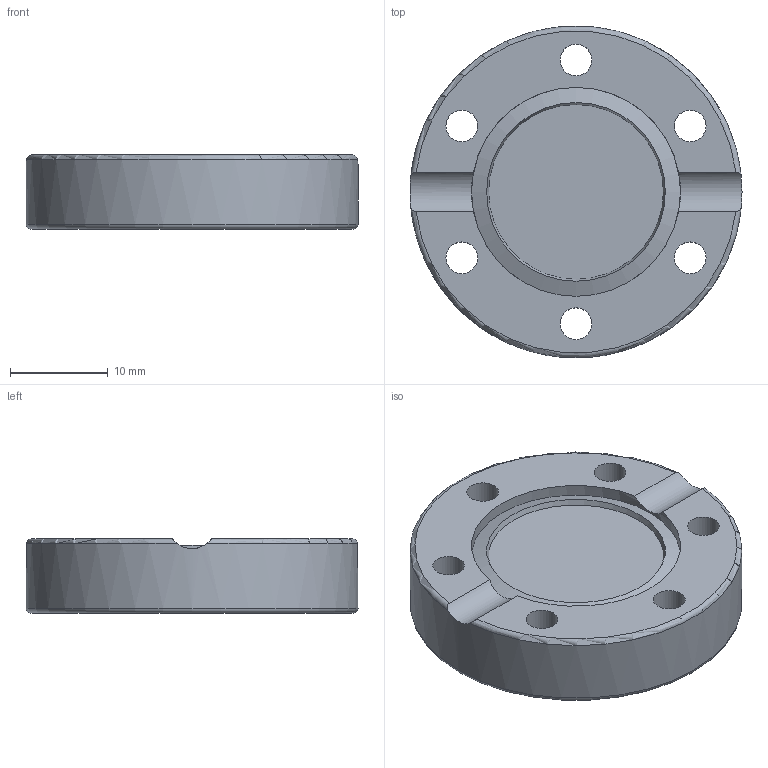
import cadquery as cq
import math

flange_diameter = 34.0
flange_thickness = 7.6
rim_fillet = 0.5

recess_diameter = 21.4
knife_edge_diameter = 18.3
knife_edge_depth = 0.65
knife_slope = 20.0
floor_diameter = 17.9
floor_depth = 1.2

bolt_circle_diameter = 27.0
bolt_hole_diameter = 3.25
bolt_hole_count = 6
first_bolt_angle = 90.0

groove_width = 4.0
groove_depth = 1.0

flange_radius = flange_diameter / 2
recess_radius = recess_diameter / 2
knife_edge_radius = knife_edge_diameter / 2


def flange_body():
    """Plain disc with rounded rims, base on Z = 0."""
    disc = cq.Workplane("XY").circle(flange_radius).extrude(flange_thickness)
    return disc.edges("%CIRCLE").fillet(rim_fillet)


def seal_recess():
    """Revolved void above the knife edge, its sloping outer flank and the centre floor."""
    crest_z = flange_thickness - knife_edge_depth
    floor_z = flange_thickness - floor_depth
    flank_drop = (recess_radius - knife_edge_radius) * math.tan(math.radians(knife_slope))
    return (
        cq.Workplane("XZ")
        .moveTo(0, flange_thickness)
        .lineTo(recess_radius, flange_thickness)
        .lineTo(recess_radius, crest_z - flank_drop)
        .lineTo(knife_edge_radius, crest_z)
        .lineTo(floor_diameter / 2, floor_z)
        .lineTo(0, floor_z)
        .close()
        .revolve(360, (0, 0), (0, 1))
    )


def bolt_holes():
    """Through holes evenly spaced on the bolt circle."""
    return (
        cq.Workplane("XY")
        .polarArray(bolt_circle_diameter / 2, first_bolt_angle, 360, bolt_hole_count)
        .circle(bolt_hole_diameter / 2)
        .extrude(flange_thickness)
    )


def leak_groove():
    """Round-bottomed groove along X, from one side of the rim to the other."""
    groove_radius = ((groove_width / 2) ** 2 + groove_depth**2) / (2 * groove_depth)
    axis_z = flange_thickness - groove_depth + groove_radius
    return (
        cq.Workplane("YZ")
        .center(0, axis_z)
        .circle(groove_radius)
        .extrude(flange_radius, both=True)
    )


def leak_grooves():
    """The two groove lengths between the recess wall and the rim."""
    recess_core = cq.Workplane("XY").circle(recess_radius).extrude(2 * flange_thickness)
    return leak_groove().cut(recess_core)


result = flange_body().cut(seal_recess()).cut(bolt_holes()).cut(leak_grooves())